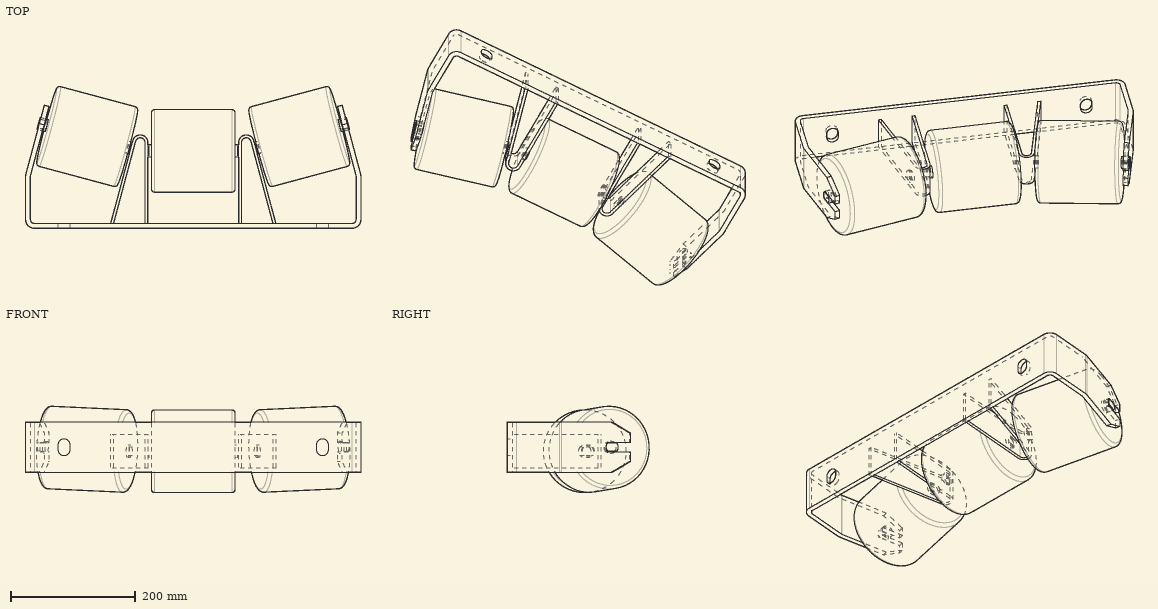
import cadquery as cq
import math

FRAME_LENGTH = 540.0
FRAME_HEIGHT = 81.0
PLATE = 8.0
BEND_RADIUS = 14.5
ARM_BEND_Y = 83.5
LEAN_DEGREES = 15.0
ARM_LENGTH = 115.0
TIP_HEIGHT = 46.0
TIP_CHAMFER_LENGTH = 31.0
ARM_SLOT_HEIGHT = 15.5
SLOT_CLEARANCE = 0.25

MOUNT_SLOT_X = 208.0
MOUNT_SLOT_WIDTH = 19.0
MOUNT_SLOT_HEIGHT = 27.0

BRACKET_HEIGHT = 54.0
BRACKET_PLATE = 5.0
BRACKET_BEND_RADIUS = 12.5
BRACKET_BEND_Y = 138.0

ROLLER_DIAMETER = 133.5
ROLLER_LENGTH = 135.0
ROLLER_FILLET = 5.5
ROLLER_SPAN = 146.0
SHAFT_DIAMETER = 20.0
FLAT_HEIGHT = 13.5
ROUND_SHAFT_LENGTH = 142.5
MIDDLE_ROLLER_Y = 125.0
ROLLER_DROP = 6.5
OUTER_ROLLER_X = 170.5
OUTER_ROLLER_Y = 148.0

HALF_LENGTH = FRAME_LENGTH / 2
LEAN = math.radians(LEAN_DEGREES)
TILT = math.asin(ROLLER_DROP / ROLLER_SPAN)
UP_ARM = cq.Vector(-math.sin(LEAN), math.cos(LEAN), 0)
OUTWARD = cq.Vector(math.cos(LEAN), math.sin(LEAN), 0)
ROLLER_AXIS = OUTWARD * math.cos(TILT) + cq.Vector(0, 0, math.sin(TILT))
CORNER_CENTRE = cq.Vector(HALF_LENGTH - BEND_RADIUS, BEND_RADIUS, 0)
ARM_BEND_CENTRE = cq.Vector(HALF_LENGTH - BEND_RADIUS, ARM_BEND_Y, 0)
BRACKET_BEND_CENTRE = cq.Vector(ROLLER_SPAN / 2 + BRACKET_BEND_RADIUS, BRACKET_BEND_Y, 0)
MIDDLE_ROLLER_CENTRE = cq.Vector(0, MIDDLE_ROLLER_Y, -ROLLER_DROP)
OUTER_ROLLER_CENTRE = cq.Vector(OUTER_ROLLER_X, OUTER_ROLLER_Y, -ROLLER_DROP / 2)


def around(centre, radius, degrees):
    """XY point at an angle from +X on a circle around a centre."""
    angle = math.radians(degrees)
    return (centre.x + radius * math.cos(angle), centre.y + radius * math.sin(angle))


def moved(point, offset):
    return (point[0] + offset.x, point[1] + offset.y)


def half_frame_plate():
    """The +X half of the frame plate, before its slots and chamfers are cut."""
    inner_radius = BEND_RADIUS - PLATE
    outer_arm_start = around(ARM_BEND_CENTRE, BEND_RADIUS, LEAN_DEGREES)
    inner_arm_start = around(ARM_BEND_CENTRE, inner_radius, LEAN_DEGREES)
    arm_run = UP_ARM * ARM_LENGTH
    outline = (
        cq.Workplane("XY")
        .lineTo(CORNER_CENTRE.x, 0)
        .threePointArc(around(CORNER_CENTRE, BEND_RADIUS, -45), (HALF_LENGTH, BEND_RADIUS))
        .lineTo(HALF_LENGTH, ARM_BEND_Y)
        .threePointArc(around(ARM_BEND_CENTRE, BEND_RADIUS, LEAN_DEGREES / 2), outer_arm_start)
        .lineTo(*moved(outer_arm_start, arm_run))
        .lineTo(*moved(inner_arm_start, arm_run))
        .lineTo(*inner_arm_start)
        .threePointArc(
            around(ARM_BEND_CENTRE, inner_radius, LEAN_DEGREES / 2),
            (HALF_LENGTH - PLATE, ARM_BEND_Y),
        )
        .lineTo(HALF_LENGTH - PLATE, BEND_RADIUS)
        .threePointArc(around(CORNER_CENTRE, inner_radius, -45), (CORNER_CENTRE.x, PLATE))
        .lineTo(0, PLATE)
        .close()
    )
    return outline.extrude(FRAME_HEIGHT / 2, both=True)


def arm_plane():
    """Outer face of the arm at the end of its bend: local X runs up the arm, local Y is +Z."""
    start = around(ARM_BEND_CENTRE, BEND_RADIUS, LEAN_DEGREES)
    return cq.Plane(origin=(*start, 0), xDir=UP_ARM, normal=OUTWARD)


def arm_tip_chamfers():
    """Two wedges that narrow the arm to its tip."""
    chamfer_start = ARM_LENGTH - TIP_CHAMFER_LENGTH
    wedge = (
        cq.Workplane(arm_plane())
        .moveTo(chamfer_start, FRAME_HEIGHT / 2)
        .lineTo(ARM_LENGTH, FRAME_HEIGHT / 2)
        .lineTo(ARM_LENGTH, TIP_HEIGHT / 2)
        .close()
        .extrude(-PLATE)
    )
    return wedge.union(wedge.mirror("XY"))


def arm_slot():
    """Slot open at the arm tip, with a round bottom that follows the shaft."""
    plane = arm_plane()
    shaft_position = plane.toLocalCoords(OUTER_ROLLER_CENTRE).x
    straight = (
        cq.Workplane(plane)
        .moveTo((shaft_position + ARM_LENGTH) / 2, 0)
        .rect(ARM_LENGTH - shaft_position, ARM_SLOT_HEIGHT)
        .extrude(-PLATE)
    )
    bottom = (
        cq.Workplane(plane)
        .moveTo(shaft_position, 0)
        .circle(SHAFT_DIAMETER / 2 + SLOT_CLEARANCE)
        .extrude(-PLATE)
    )
    band = cq.Workplane(plane).rect(2 * ARM_LENGTH, ARM_SLOT_HEIGHT).extrude(-PLATE)
    return straight.union(bottom.intersect(band))


def mount_slot():
    """Upright obround hole through the base."""
    return (
        cq.Workplane("XZ")
        .moveTo(MOUNT_SLOT_X, 0)
        .slot2D(MOUNT_SLOT_HEIGHT, MOUNT_SLOT_WIDTH, 90)
        .extrude(-PLATE)
    )


def bracket():
    """Strip with an upright leg, a round top and a leaning leg, standing on the base."""
    inner_radius = BRACKET_BEND_RADIUS - BRACKET_PLATE
    arc_middle = (180 + LEAN_DEGREES) / 2
    leg_x = ROLLER_SPAN / 2

    def leaning_leg_foot(radius):
        """Foot of the leaning leg's face that is tangent to the bend at this radius."""
        top_x, top_y = around(BRACKET_BEND_CENTRE, radius, LEAN_DEGREES)
        return (top_x + (top_y - PLATE) * math.tan(LEAN), PLATE)

    outline = (
        cq.Workplane("XY")
        .moveTo(leg_x, PLATE)
        .lineTo(leg_x, BRACKET_BEND_Y)
        .threePointArc(
            around(BRACKET_BEND_CENTRE, BRACKET_BEND_RADIUS, arc_middle),
            around(BRACKET_BEND_CENTRE, BRACKET_BEND_RADIUS, LEAN_DEGREES),
        )
        .lineTo(*leaning_leg_foot(BRACKET_BEND_RADIUS))
        .lineTo(*leaning_leg_foot(inner_radius))
        .lineTo(*around(BRACKET_BEND_CENTRE, inner_radius, LEAN_DEGREES))
        .threePointArc(
            around(BRACKET_BEND_CENTRE, inner_radius, arc_middle),
            (leg_x + BRACKET_PLATE, BRACKET_BEND_Y),
        )
        .lineTo(leg_x + BRACKET_PLATE, PLATE)
        .close()
    )
    return outline.extrude(BRACKET_HEIGHT / 2, both=True).translate((0, 0, -ROLLER_DROP))


def roller(centre, axis, flat_direction, inner_reach, outer_reach):
    """Drum with rounded rims on a shaft whose ends have two flats.

    The shaft reaches the given distances from the centre, against and along the axis.
    The flats run along flat_direction.
    """
    def section(offset):
        return cq.Workplane(cq.Plane(origin=centre + axis * offset, xDir=flat_direction, normal=axis))

    drum = (
        section(-ROLLER_LENGTH / 2)
        .circle(ROLLER_DIAMETER / 2)
        .extrude(ROLLER_LENGTH)
        .edges()
        .fillet(ROLLER_FILLET)
    )
    round_shaft = (
        section(-ROUND_SHAFT_LENGTH / 2)
        .circle(SHAFT_DIAMETER / 2)
        .extrude(ROUND_SHAFT_LENGTH)
    )
    shaft_length = inner_reach + outer_reach
    flats = section(-inner_reach).rect(SHAFT_DIAMETER, FLAT_HEIGHT).extrude(shaft_length)
    flat_ends = section(-inner_reach).circle(SHAFT_DIAMETER / 2).extrude(shaft_length).intersect(flats)
    return drum.union(round_shaft).union(flat_ends)


def build_frame():
    """Bent plate, two welded brackets and the middle roller fixed between them."""
    half = (
        half_frame_plate()
        .cut(arm_tip_chamfers())
        .cut(arm_slot())
        .cut(mount_slot())
        .union(bracket())
    )
    middle_roller = roller(
        MIDDLE_ROLLER_CENTRE,
        cq.Vector(1, 0, 0),
        cq.Vector(0, 1, 0),
        ROLLER_SPAN / 2,
        ROLLER_SPAN / 2,
    )
    return half.union(half.mirror("YZ")).union(middle_roller)


def build_outer_rollers(frame):
    """Two loose rollers; each inner shaft end is trimmed flush with the bracket it rests against."""
    right = roller(
        OUTER_ROLLER_CENTRE,
        ROLLER_AXIS,
        -UP_ARM,
        ROLLER_SPAN / 2,
        ROLLER_SPAN / 2 + PLATE,
    ).cut(frame)
    rollers = []
    for roller_body in (right, right.mirror("YZ")):
        rollers.append(roller_body.solids().val())
    return rollers


frame = build_frame()
outer_rollers = build_outer_rollers(frame)

result = cq.Compound.makeCompound([frame.solids().val(), *outer_rollers])